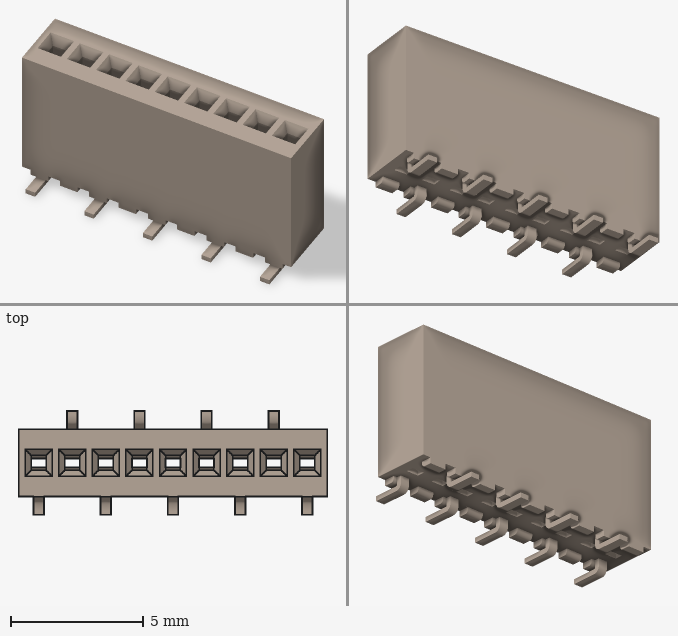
import cadquery as cq

housing_length = 11.68
housing_width = 2.55
overall_width = 3.94
overall_height = 6.1
body_height = 5.52
body_bottom = overall_height - body_height

position_count = 9
end_allowance = 0.25
pitch = (housing_length - end_allowance) / position_count
position_x = [(i - (position_count - 1) / 2) * pitch for i in range(position_count)]

mouth_size = 1.02
shaft_size = 0.56
mouth_depth = 0.4

sheet = 0.21
leg_inner_y = 0.58
leg_outer_y = leg_inner_y + sheet
leg_width = 0.41
bend_inner_radius = 0.06
bend_outer_radius = bend_inner_radius + sheet
foot_tip_y = overall_width / 2
carrier_inner_y = 0.16
carrier_length = position_x[-1] - position_x[0] + mouth_size

lug_width = 0.76
lug_height = 0.25
lug_corner_radius = 0.15

FRONT, REAR = -1, 1


def box_between(length, y_a, y_b, z_bottom, height):
    """Box centred on X = 0, lying between two Y values, standing on z_bottom."""
    centre_y = (y_a + y_b) / 2
    box = cq.Workplane("XY").box(length, abs(y_b - y_a), height, centered=(True, True, False))
    return box.translate((0, centre_y, z_bottom))


def make_carrier(side):
    """Flat bar of a contact strip, flush with the housing underside and edging every socket."""
    return box_between(carrier_length, side * carrier_inner_y, side * leg_outer_y, body_bottom, sheet)


def make_lead(side):
    """Leg going down from the carrier and bending outward into a flat foot."""
    leg = box_between(leg_width, side * leg_inner_y, side * leg_outer_y, 0, body_bottom)
    foot = box_between(leg_width, side * leg_inner_y, side * foot_tip_y, 0, sheet)
    lead = leg.union(foot)
    inner_corner = cq.selectors.NearestToPointSelector((0, side * leg_outer_y, sheet))
    outer_corner = cq.selectors.NearestToPointSelector((0, side * leg_inner_y, 0))
    lead = lead.edges("|X").edges(inner_corner).fillet(bend_inner_radius)
    return lead.edges("|X").edges(outer_corner).fillet(bend_outer_radius)


def make_contact_strip(side, lead_positions):
    """One row of leads joined by their carrier."""
    strip = make_carrier(side)
    lead = make_lead(side)
    for x in lead_positions:
        strip = strip.union(lead.translate((x, 0, 0)))
    return strip.solids()


def make_lug(side):
    """Standoff block at a long side, rounded at its lower inner edge to clear the bend."""
    lug_bottom = body_bottom - lug_height
    lug = box_between(lug_width, side * leg_outer_y, side * housing_width / 2, lug_bottom, lug_height)
    inner_corner = cq.selectors.NearestToPointSelector((0, side * leg_outer_y, lug_bottom))
    return lug.edges("|X").edges(inner_corner).fillet(lug_corner_radius)


def make_socket():
    """Cutter for one socket, open through the whole height of the body."""
    mouth = (
        cq.Workplane("XY", origin=(0, 0, overall_height))
        .rect(mouth_size, mouth_size)
        .workplane(offset=-mouth_depth)
        .rect(shaft_size, shaft_size)
        .loft(ruled=True)
    )
    shaft = box_between(shaft_size, -shaft_size / 2, shaft_size / 2, body_bottom, body_height)
    return mouth.union(shaft)


def make_housing():
    """Insulating block with lugs, sockets and a recess for each carrier."""
    body = box_between(housing_length, -housing_width / 2, housing_width / 2, body_bottom, body_height)
    socket = make_socket()
    for x in position_x:
        body = body.cut(socket.translate((x, 0, 0)))
    for side in (FRONT, REAR):
        body = body.cut(make_carrier(side))
        lug = make_lug(side)
        for x in position_x:
            body = body.union(lug.translate((x, 0, 0)))
    return body.solids()


housing = make_housing()
front_contacts = make_contact_strip(FRONT, position_x[0::2])
rear_contacts = make_contact_strip(REAR, position_x[1::2])

result = cq.Compound.makeCompound([housing.val(), front_contacts.val(), rear_contacts.val()])